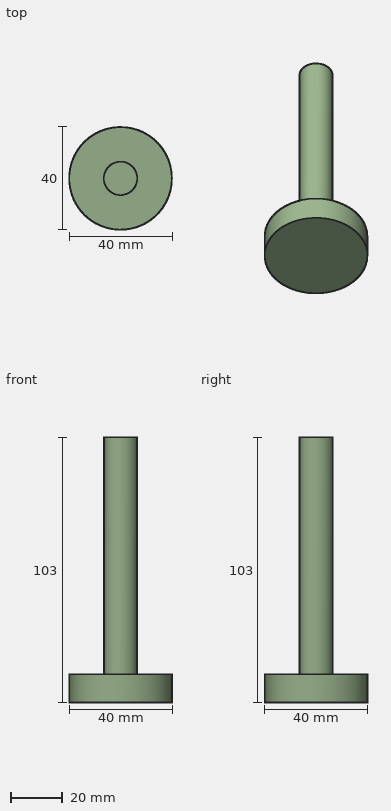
import cadquery as cq

total_height = 103.0
disc_diameter = 40.0
disc_thickness = 11.0
rod_diameter = 13.0

rod_length = total_height - disc_thickness


def make_disc():
    """Round base, centred on the Z axis with its underside at Z = 0."""
    return cq.Workplane("XY").circle(disc_diameter / 2).extrude(disc_thickness)


def make_rod():
    """Plain round rod standing on the middle of the disc."""
    return cq.Workplane("XY", origin=(0, 0, disc_thickness)).circle(rod_diameter / 2).extrude(rod_length)


disc = make_disc()
rod = make_rod()

result = cq.Compound.makeCompound([disc.val(), rod.val()])